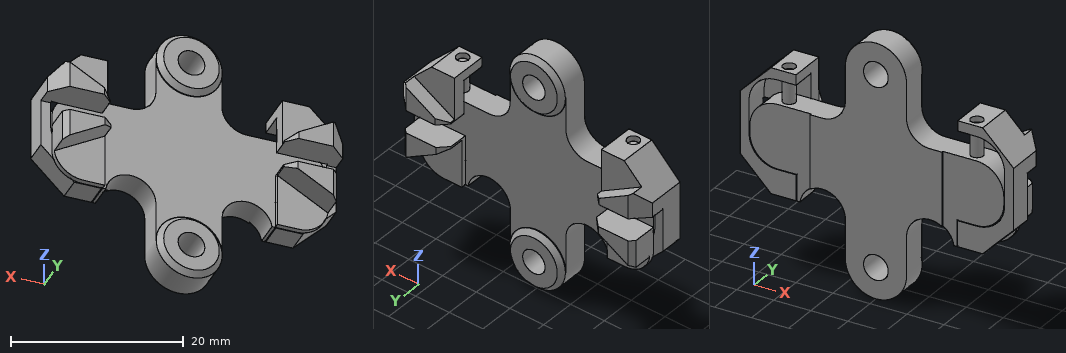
import cadquery as cq
import math


HALF_LENGTH = 18.48
DEPTH = 7.35

LUG_RADIUS = 4.15
OUTER_HEIGHT = 33.67
LUG_CENTRE_Z = OUTER_HEIGHT / 2 - LUG_RADIUS
LUG_HOLE_DIAMETER = 3.33
NOTCH_RADIUS = 3.15
LOWER_NOTCH_TOP = -4.4
PLATE_BACK = 3.47
ARM_FRONT = 0.22
ARM_STEP_X = 8.9
ARM_TOP = 4.95
TONGUE_BOTTOM = -3.55
TONGUE_END_X = 17.15
TONGUE_CORNER_RADIUS = 3.75
WEB_BOTTOM = -7.05
WEB_END_X = 10.8
BOSS_HEIGHT = 0.78
BOSS_CHAMFER = 0.65

JAW_SLOPE = math.tan(math.radians(30))
OUTER_CHAMFER = 2.0
INNER_CHAMFER = 1.25

FRAME_INNER_X = 10.9
FRAME_TOP = 9.55
FRAME_BOTTOM = WEB_BOTTOM
FRAME_CORNER = 4.18
FRAME_LOWER_BACK = 3.35
FRAME_UPPER_BACK = DEPTH - OUTER_CHAMFER
WINDOW_END_X = 17.25
WINDOW_TOP = 8.15
WINDOW_BOTTOM = -3.62
WINDOW_CORNER_RADIUS = TONGUE_CORNER_RADIUS
WINDOW_BACK = 3.62
UPPER_JAW_BOTTOM = 3.3
UPPER_JAW_EDGE_X = 16.9

JAW_END_X = TONGUE_END_X
JAW_CORNER_RADIUS = TONGUE_CORNER_RADIUS
LOWER_JAW_TOP = 0.07
JAW_FLANGE_BACK = 4.15
LOWER_JAW_OUTER_BOTTOM = -3.88

SCREW_X = 12.68
SCREW_Y = 1.63
SCREW_DIAMETER = 1.65
SCREW_RECESS = 0.65
SCREW_CHAMFER = 0.15


def slab(outline, front, back):
    """Extrude a closed XZ outline from y = front to y = back."""
    return outline.close().extrude(front - back).translate((0, front, 0))


def sketch():
    return cq.Workplane("XZ")


def both_sides(make_body):
    """The body made for the +X side and its mirror image on the -X side."""
    body = make_body()
    return [body, body.mirror("YZ")]


def plate_half():
    """The +X half of the plate, before the boss and the hole of each lug."""
    lug_top = LUG_CENTRE_Z + LUG_RADIUS
    notch_x = LUG_RADIUS + NOTCH_RADIUS
    notch_z = ARM_TOP + NOTCH_RADIUS
    lower_notch_z = LOWER_NOTCH_TOP - NOTCH_RADIUS
    notch_end_x = notch_x + math.sqrt(NOTCH_RADIUS**2 - (WEB_BOTTOM - lower_notch_z) ** 2)
    diagonal = math.sqrt(0.5)
    corner_x = TONGUE_END_X - TONGUE_CORNER_RADIUS
    corner_mid_x = corner_x + TONGUE_CORNER_RADIUS * diagonal
    upper_corner_z = ARM_TOP - TONGUE_CORNER_RADIUS
    lower_corner_z = TONGUE_BOTTOM + TONGUE_CORNER_RADIUS
    corner_rise = TONGUE_CORNER_RADIUS * diagonal
    lug_mid = LUG_RADIUS * diagonal
    notch_mid = NOTCH_RADIUS * diagonal
    outline = (
        sketch()
        .moveTo(0, lug_top)
        .threePointArc((lug_mid, LUG_CENTRE_Z + lug_mid), (LUG_RADIUS, LUG_CENTRE_Z))
        .lineTo(LUG_RADIUS, notch_z)
        .threePointArc((notch_x - notch_mid, notch_z - notch_mid), (notch_x, ARM_TOP))
        .lineTo(corner_x, ARM_TOP)
        .threePointArc((corner_mid_x, upper_corner_z + corner_rise), (TONGUE_END_X, upper_corner_z))
        .lineTo(TONGUE_END_X, lower_corner_z)
        .threePointArc((corner_mid_x, lower_corner_z - corner_rise), (corner_x, TONGUE_BOTTOM))
        .lineTo(WEB_END_X, TONGUE_BOTTOM)
        .lineTo(WEB_END_X, WEB_BOTTOM)
        .lineTo(notch_end_x, WEB_BOTTOM)
        .threePointArc((notch_x, lower_notch_z + NOTCH_RADIUS), (LUG_RADIUS, lower_notch_z))
        .lineTo(LUG_RADIUS, -LUG_CENTRE_Z)
        .threePointArc((lug_mid, -LUG_CENTRE_Z - lug_mid), (0, -lug_top))
    )
    half = slab(outline, 0, PLATE_BACK)
    step = cq.Workplane("XY").box(HALF_LENGTH, ARM_FRONT, 2 * HALF_LENGTH, centered=(False, False, True))
    return half.cut(step.translate((ARM_STEP_X, 0, 0)))


def make_plate():
    plate = plate_half()
    plate = plate.union(plate.mirror("YZ"))
    lug_centres = [(0, LUG_CENTRE_Z), (0, -LUG_CENTRE_Z)]
    boss = sketch().pushPoints(lug_centres).circle(LUG_RADIUS).extrude(-PLATE_BACK - BOSS_HEIGHT)
    boss = boss.faces(">Y").chamfer(BOSS_CHAMFER)
    holes = sketch().pushPoints(lug_centres).circle(LUG_HOLE_DIAMETER / 2).extrude(-DEPTH)
    return plate.union(boss).cut(holes)


def jaw_envelope(inner_x):
    """Tall prism that bounds a jaw by its inner face and its 45 degree back chamfers."""
    return (
        cq.Workplane("XY")
        .moveTo(inner_x, 0)
        .lineTo(HALF_LENGTH, 0)
        .lineTo(HALF_LENGTH, DEPTH - OUTER_CHAMFER)
        .lineTo(HALF_LENGTH - OUTER_CHAMFER, DEPTH)
        .lineTo(inner_x + INNER_CHAMFER, DEPTH)
        .lineTo(inner_x, DEPTH - INNER_CHAMFER)
        .close()
        .extrude(HALF_LENGTH, both=True)
    )


def frame_outline():
    """Outside of the clamp frame with its two cut corners."""
    return (
        sketch()
        .moveTo(FRAME_INNER_X, FRAME_TOP)
        .lineTo(HALF_LENGTH - FRAME_CORNER, FRAME_TOP)
        .lineTo(HALF_LENGTH, FRAME_TOP - FRAME_CORNER)
        .lineTo(HALF_LENGTH, FRAME_BOTTOM + FRAME_CORNER)
        .lineTo(HALF_LENGTH - FRAME_CORNER, FRAME_BOTTOM)
        .lineTo(FRAME_INNER_X, FRAME_BOTTOM)
    )


def frame_window():
    """Opening around the arm, open towards the middle of the plate."""
    height = WINDOW_TOP - WINDOW_BOTTOM
    window = cq.Workplane("XY").box(WINDOW_END_X, WINDOW_BACK, height, centered=False)
    window = window.edges("|Y and >X").fillet(WINDOW_CORNER_RADIUS)
    return window.translate((0, 0, WINDOW_BOTTOM))


def make_frame():
    ring = slab(frame_outline(), ARM_FRONT, FRAME_LOWER_BACK)
    upper = slab(frame_outline(), ARM_FRONT, DEPTH)
    above_gap = cq.Workplane("XY").box(2 * HALF_LENGTH, 2 * DEPTH, HALF_LENGTH, centered=(True, True, False))
    upper = upper.intersect(above_gap.translate((0, 0, UPPER_JAW_BOTTOM)))

    edge_z = HALF_LENGTH - FRAME_CORNER + FRAME_TOP - UPPER_JAW_EDGE_X
    slope_foot_z = edge_z - JAW_SLOPE * UPPER_JAW_EDGE_X
    above_jaw = slab(
        sketch()
        .moveTo(0, slope_foot_z)
        .lineTo(HALF_LENGTH, slope_foot_z + JAW_SLOPE * HALF_LENGTH)
        .lineTo(HALF_LENGTH, HALF_LENGTH)
        .lineTo(0, HALF_LENGTH),
        FRAME_UPPER_BACK,
        DEPTH,
    )
    upper = upper.cut(above_jaw).intersect(jaw_envelope(FRAME_INNER_X))

    screw_hole = cq.Workplane("XY").center(SCREW_X, SCREW_Y).circle(SCREW_DIAMETER / 2).extrude(FRAME_TOP)
    return ring.union(upper).cut(frame_window()).cut(screw_hole)


def make_lower_jaw():
    blank = slab(
        sketch()
        .moveTo(WEB_END_X, LOWER_JAW_TOP)
        .lineTo(JAW_END_X, LOWER_JAW_TOP)
        .lineTo(JAW_END_X, WEB_BOTTOM)
        .lineTo(WEB_END_X, WEB_BOTTOM),
        PLATE_BACK,
        DEPTH,
    )
    blank = blank.edges("|Y and >X and <Z").fillet(JAW_CORNER_RADIUS)
    back_chamfer = OUTER_CHAMFER - (HALF_LENGTH - JAW_END_X)
    blank = blank.faces(">Y").edges(">X").chamfer(back_chamfer)

    slope_foot_z = LOWER_JAW_OUTER_BOTTOM + JAW_SLOPE * JAW_END_X
    below_jaw = slab(
        sketch()
        .moveTo(0, slope_foot_z)
        .lineTo(HALF_LENGTH, slope_foot_z - JAW_SLOPE * HALF_LENGTH)
        .lineTo(HALF_LENGTH, -HALF_LENGTH)
        .lineTo(0, -HALF_LENGTH),
        JAW_FLANGE_BACK,
        DEPTH,
    )
    return blank.cut(below_jaw).intersect(jaw_envelope(WEB_END_X))


def make_screw():
    """Set screw standing on the arm, with its top sunk below the top of the frame."""
    length = FRAME_TOP - SCREW_RECESS - ARM_TOP
    screw = cq.Workplane("XY").circle(SCREW_DIAMETER / 2).extrude(length)
    return screw.faces(">Z").chamfer(SCREW_CHAMFER).translate((SCREW_X, SCREW_Y, ARM_TOP))


plate = make_plate()
frames = both_sides(make_frame)
lower_jaws = both_sides(make_lower_jaw)
screws = both_sides(make_screw)

result = cq.Compound.makeCompound([plate.val()] + [body.val() for body in frames + lower_jaws + screws])